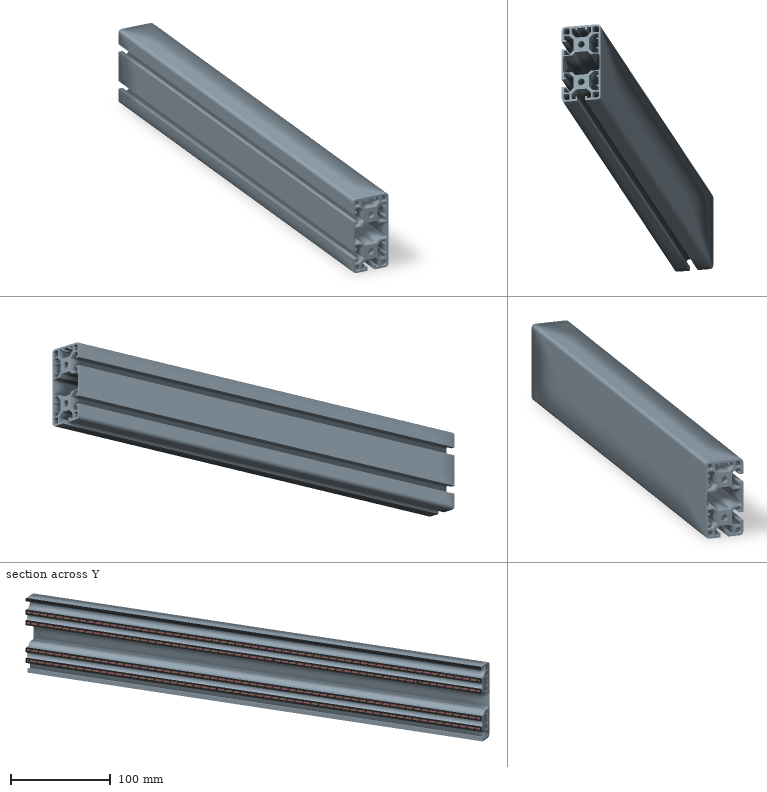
import cadquery as cq

length = 500.0
module = 40.0
height = 2 * module
corner_radius = 3.5

slot_opening = 8.2
slot_width = 20.2
slot_skin = 2.3
lip_depth = 4.5
lip_width = 11.8
core_width = 15.5
bore_diameter = 6.8

rib_offset = 2.4
rib_corner_radius = 0.5

hollow_wall = 1.9
hollow_web = 1.7
hollow_outer_radius = 2.5
hollow_inner_radius = 1.0

chamber_wall = 1.4
chamber_web = 1.0
chamber_radius = 1.9
chamber_rib_offset = 1.75

half_module = module / 2
half_opening = slot_opening / 2
half_slot = slot_width / 2
half_lip = lip_width / 2
half_core = core_width / 2
half_floor = half_core - rib_offset
skin_face = half_module - slot_skin
lip_face = half_module - lip_depth
hollow_inner = half_slot + hollow_web
hollow_outer = half_module - hollow_wall

upper_core = half_module
lower_core = -half_module

section_plane = cq.Workplane("YZ", origin=(-length / 2, 0, 0))


def prism(points):
    return section_plane.polyline(points).close().extrude(length)


def block(y_min, y_max, z_min, z_max):
    corners = [(y_min, z_min), (y_max, z_min), (y_max, z_max), (y_min, z_max)]
    return prism(corners)


def mirror_in_y(points):
    return [(-y, z) for y, z in reversed(points)]


def round_edges(body, corners, radius):
    """Fillet the lengthwise edges that pass through the given (y, z) corners."""
    for y, z in corners:
        body = body.edges(cq.selectors.NearestToPointSelector((0, y, z))).fillet(radius)
    return body


def place(cutter, angle, core_z):
    """Turn a cutter that faces +Z about the core axis, then move it onto that core."""
    return cutter.rotate((0, 0, 0), (1, 0, 0), angle).translate((0, 0, core_z))


def slot_cavity():
    """Undercut slot facing +Z around a core at the origin, still closed by its skin."""
    rib_corner = (half_slot, half_slot + rib_offset)
    right_half = [
        (half_floor, half_core),
        rib_corner,
        (half_slot, skin_face),
        (half_lip, skin_face),
        (half_lip, lip_face),
        (half_opening, lip_face),
        (half_opening, skin_face),
    ]
    cavity = prism(right_half + mirror_in_y(right_half))
    return round_edges(cavity, [rib_corner] + mirror_in_y([rib_corner]), rib_corner_radius)


def slot_mouth():
    """Opening through the skin of a slot facing +Z."""
    return block(-half_opening, half_opening, skin_face, half_module)


def corner_hollow():
    """Hollow in the +Y +Z corner of a core at the origin, with its largest radius outermost."""
    hollow = block(hollow_inner, hollow_outer, hollow_inner, hollow_outer)
    inner_corners = [
        (hollow_inner, hollow_inner),
        (hollow_inner, hollow_outer),
        (hollow_outer, hollow_inner),
    ]
    hollow = round_edges(hollow, [(hollow_outer, hollow_outer)], hollow_outer_radius)
    return round_edges(hollow, inner_corners, hollow_inner_radius)


def central_chamber():
    """Chamber between the two cores, bounded by the webs, the ribs and the side walls."""
    wall_y = half_module - chamber_wall
    web_distance = half_slot + chamber_web
    web_z = upper_core - web_distance
    core_z = upper_core - half_core
    floor_y = half_core - chamber_rib_offset
    rib_foot = web_distance - chamber_rib_offset
    upper_right = [(wall_y, web_z), (rib_foot, web_z), (floor_y, core_z)]
    upper = upper_right + mirror_in_y(upper_right)
    lower = [(-y, -z) for y, z in upper]
    wall_corners = [(wall_y, web_z), (-wall_y, web_z), (-wall_y, -web_z), (wall_y, -web_z)]
    return round_edges(prism(upper + lower), wall_corners, chamber_radius)


result = section_plane.rect(module, height).extrude(length).edges("|X").fillet(corner_radius)
result = result.cut(central_chamber())

for core_z, end_angle in ((upper_core, 0), (lower_core, 180)):
    for slot_angle in (end_angle, 90, 270):
        result = result.cut(place(slot_cavity(), slot_angle, core_z))
    for corner_angle in (end_angle, end_angle + 90):
        result = result.cut(place(corner_hollow(), corner_angle, core_z))
    bore = section_plane.center(0, core_z).circle(bore_diameter / 2).extrude(length)
    result = result.cut(bore)

for slot_angle, core_z in ((90, upper_core), (90, lower_core), (180, lower_core)):
    result = result.cut(place(slot_mouth(), slot_angle, core_z))